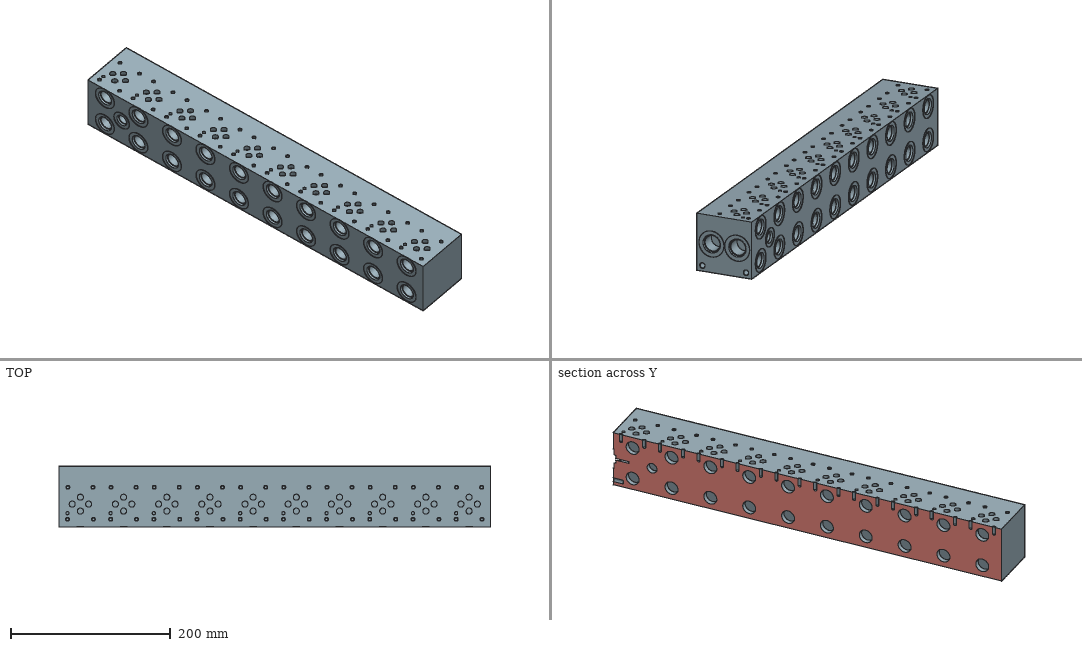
import cadquery as cq

LENGTH = 540.0
SIDE = 76.0
MIDDLE = SIDE / 2
STATIONS = 10
PITCH = LENGTH / STATIONS

SPOTFACE_DEPTH = 0.75
SEAT_DEPTH = 2.5
SEAT_TAPER = 0.5
WORK_PORT = dict(spotface=30.0, seat=20.5, bore=17.5, depth=16.0)
GAUGE_PORT = dict(spotface=25.0, seat=15.5, bore=13.0, depth=16.0)
END_PORT = dict(spotface=34.5, seat=24.0, bore=20.5, depth=21.5)

WORK_PORT_HEIGHTS = (16.0, 60.5)
END_PORT_OFFSET = 18.0

VALVE_PORT_DIAMETER = 7.5
VALVE_PORT_DEPTH = 6.0
VALVE_PORTS = [(0, 37.0), (0, 20.0), (-10.0, 28.5), (10.0, 28.5)]

PIN_DIAMETER = 4.0
PIN_DEPTH = 4.0
PINS = [(-16.0, 17.5)]

VALVE_SCREW = dict(mouth=5.0, bore=3.65, depth=11.0)
VALVE_SCREWS = [(-15.5, 49.5), (15.5, 49.5), (-16.0, 9.5), (16.0, 9.5)]

END_SCREW = dict(mouth=7.5, bore=6.5, depth=13.5)
END_SCREW_OFFSET = 30.0
END_SCREW_HEIGHT = 7.5

DRILL_TIP_SLOPE = 0.6

INTO_FRONT = (0, 1, 0)
INTO_TOP = (0, 0, -1)
INTO_END = (1, 0, 0)


def revolved(profile):
    """Turn a closed (radius, depth) profile about the Z axis."""
    return cq.Workplane("XZ").polyline(profile).close().revolve(360, (0, 0), (0, 1)).val()


def port(spotface, seat, bore, depth):
    seat_floor = SPOTFACE_DEPTH + SEAT_DEPTH
    return revolved([
        (0, 0),
        (spotface / 2, 0),
        (spotface / 2, SPOTFACE_DEPTH),
        (seat / 2, SPOTFACE_DEPTH),
        (seat / 2 - SEAT_TAPER, seat_floor),
        (bore / 2, seat_floor),
        (bore / 2, depth),
        (0, depth),
    ])


def screw_hole(mouth, bore, depth):
    """Drilled hole with a 45 degree countersink and a conical tip."""
    radius = bore / 2
    return revolved([
        (0, 0),
        (mouth / 2, 0),
        (radius, mouth / 2 - radius),
        (radius, depth),
        (0, depth + DRILL_TIP_SLOPE * radius),
    ])


def flat_hole(diameter, depth):
    return cq.Workplane().circle(diameter / 2).extrude(depth).val()


def placed(cutter, origin, direction):
    """Move a cutter that runs along +Z to start at `origin` and run along `direction`."""
    return cutter.moved(cq.Plane(origin=origin, normal=direction).location)


def station_cutters(center_x):
    """Holes of one valve station: its work ports and its valve pattern."""
    cutters = [
        placed(port(**WORK_PORT), (center_x, 0, height), INTO_FRONT)
        for height in WORK_PORT_HEIGHTS
    ]
    top_patterns = [
        (flat_hole(VALVE_PORT_DIAMETER, VALVE_PORT_DEPTH), VALVE_PORTS),
        (flat_hole(PIN_DIAMETER, PIN_DEPTH), PINS),
        (screw_hole(**VALVE_SCREW), VALVE_SCREWS),
    ]
    for cutter, points in top_patterns:
        for dx, y in points:
            cutters.append(placed(cutter, (center_x + dx, y, SIDE), INTO_TOP))
    return cutters


def end_cutters():
    """Two large ports and two screw holes, mirrored about the middle of the end face."""
    cutters = []
    for side in (-1, 1):
        port_y = MIDDLE + side * END_PORT_OFFSET
        screw_y = MIDDLE + side * END_SCREW_OFFSET
        cutters.append(placed(port(**END_PORT), (0, port_y, MIDDLE), INTO_END))
        cutters.append(placed(screw_hole(**END_SCREW), (0, screw_y, END_SCREW_HEIGHT), INTO_END))
    return cutters


cutters = end_cutters()
for station in range(STATIONS):
    cutters += station_cutters((station + 0.5) * PITCH)

cutters.append(placed(port(**GAUGE_PORT), (PITCH, 0, MIDDLE), INTO_FRONT))

block = cq.Workplane().box(LENGTH, SIDE, SIDE, centered=False)
result = cq.Workplane(block.val().cut(*cutters))